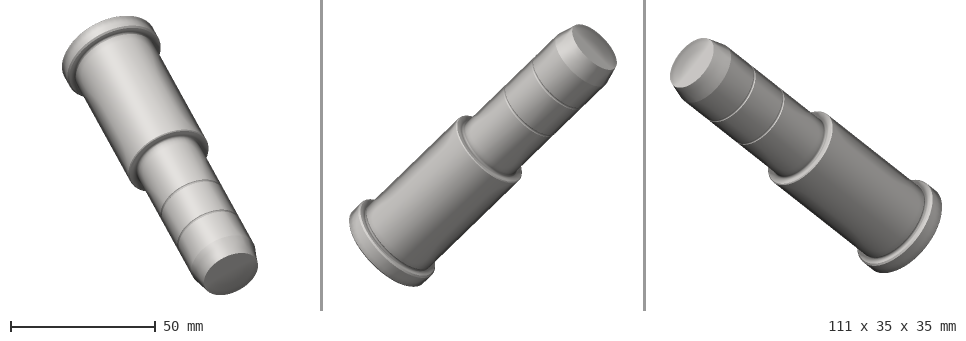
import cadquery as cq
import math

length = 111.0
head_diameter = 35.0
body_diameter = 30.0
shank_diameter = 24.0

head_length = 6.0
body_end = 55.0
groove_starts = (76.4, 91.4)

head_chamfer = 0.5
body_chamfer = 0.3
shoulder_fillet = 0.7
undercut_width = 1.0
undercut_depth = 0.3
groove_width = 1.0
groove_depth = 0.3
taper_length = 6.9
taper_angle = 15.0

head_radius = head_diameter / 2
body_radius = body_diameter / 2
shank_radius = shank_diameter / 2
tip_radius = shank_radius - taper_length * math.tan(math.radians(taper_angle))


def add_round_groove(profile, start, width, radius, depth):
    """Continue the profile to a shallow groove and follow its arc to the far edge."""
    bottom = (start + width / 2, radius - depth)
    far_edge = (start + width, radius)
    return profile.lineTo(start, radius).threePointArc(bottom, far_edge)


profile = (
    cq.Workplane("XY")
    .moveTo(0, 0)
    .lineTo(0, head_radius - head_chamfer)
    .lineTo(head_chamfer, head_radius)
    .lineTo(head_length - head_chamfer, head_radius)
    .lineTo(head_length, head_radius - head_chamfer)
)

profile = add_round_groove(profile, head_length, undercut_width, body_radius, undercut_depth)
profile = (
    profile.lineTo(body_end - body_chamfer, body_radius)
    .lineTo(body_end, body_radius - body_chamfer)
    .lineTo(body_end, shank_radius + shoulder_fillet)
    .radiusArc((body_end + shoulder_fillet, shank_radius), -shoulder_fillet)
)

for start in groove_starts:
    profile = add_round_groove(profile, start, groove_width, shank_radius, groove_depth)
profile = (
    profile.lineTo(length - taper_length, shank_radius)
    .lineTo(length, tip_radius)
    .lineTo(length, 0)
    .close()
)

result = profile.revolve(360, (0, 0, 0), (1, 0, 0)).translate((-length / 2, 0, 0))